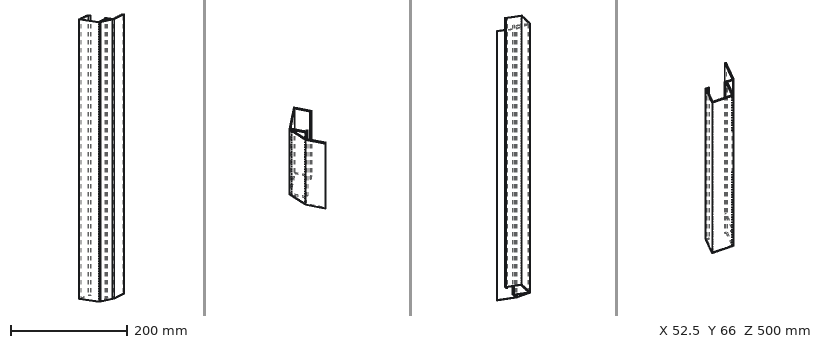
import cadquery as cq

LENGTH = 500.0
WIDTH = 52.5
DEPTH = 66.0

CHANNEL_WIDTH = 40.0
CHANNEL_DEPTH = 31.0
SIDE_WALL = 2.0
FLOOR = 2.0
INNER_WALL = 2.5
LIP_THICKNESS = 2.0
LEFT_LIP_REACH = 6.5
RIGHT_LIP_OVERHANG = 2.5

FLANGE_THICKNESS = 2.5
BRACE_WIDTH = 1.75

inner_wall_x = CHANNEL_WIDTH - INNER_WALL
flange_x = WIDTH - FLANGE_THICKNESS
lip_y = CHANNEL_DEPTH - LIP_THICKNESS
right_lip_x = inner_wall_x - RIGHT_LIP_OVERHANG

brace_run_per_rise = (WIDTH - CHANNEL_WIDTH) / CHANNEL_DEPTH
hollow_bottom_y = BRACE_WIDTH / brace_run_per_rise
hollow_top_x = CHANNEL_WIDTH - BRACE_WIDTH + brace_run_per_rise * lip_y


def extrude_outline(points):
    """Extrude a closed XY outline over the full length."""
    return cq.Workplane("XY").polyline(points).close().extrude(LENGTH)


profile = extrude_outline([
    (0, 0),
    (CHANNEL_WIDTH, 0),
    (WIDTH, CHANNEL_DEPTH),
    (WIDTH, DEPTH),
    (flange_x, DEPTH),
    (flange_x, CHANNEL_DEPTH),
    (right_lip_x, CHANNEL_DEPTH),
    (right_lip_x, lip_y),
    (inner_wall_x, lip_y),
    (inner_wall_x, FLOOR),
    (SIDE_WALL, FLOOR),
    (SIDE_WALL, lip_y),
    (LEFT_LIP_REACH, lip_y),
    (LEFT_LIP_REACH, CHANNEL_DEPTH),
    (0, CHANNEL_DEPTH),
])

hollow = extrude_outline([
    (CHANNEL_WIDTH, hollow_bottom_y),
    (hollow_top_x, lip_y),
    (CHANNEL_WIDTH, lip_y),
])

result = profile.cut(hollow)